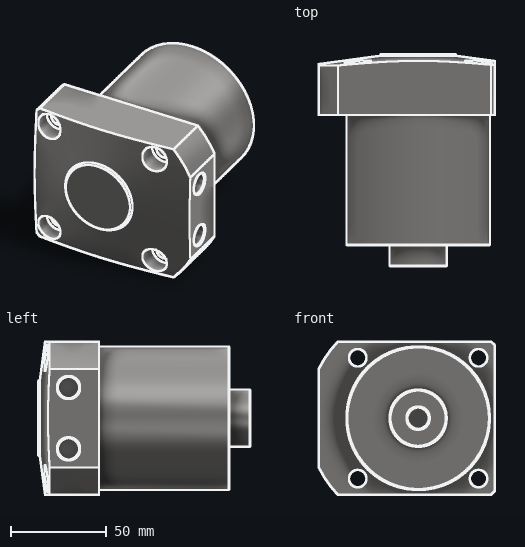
import cadquery as cq
import math

total_length = 111.0
flange_length = 32.0
rod_length = 11.0
barrel_length = total_length - flange_length - rod_length

barrel_diameter = 75.0
rod_diameter = 30.0
edge_chamfer = 0.5

flange_height = 80.0
port_side = 52.0
plain_side = 40.1
corner_radius = 57.9
corner_chamfer = 2.0

pad_diameter = 40.4
pad_height = 1.0
cone_drop = 5.1
envelope_margin = 1.1

bolt_spacing = 63.0
bolt_hole_diameter = 9.0
counterbore_diameter = 14.0
counterbore_floor = 18.0

thread_diameter = 11.1
thread_mouth_diameter = 12.2
rod_hole_depth = 15.0
port_depth = 12.0
port_spacing = 32.0
port_from_front = 16.0


def make_flange():
    """Flange profile trimmed at the back by a revolved cone and pad."""
    top = flange_height / 2
    arc_start_x = -math.sqrt(corner_radius**2 - top**2)
    arc_end_z = math.sqrt(corner_radius**2 - port_side**2)
    middle_angle = (math.atan2(top, arc_start_x) + math.atan2(arc_end_z, -port_side)) / 2
    arc_middle_x = corner_radius * math.cos(middle_angle)
    arc_middle_z = corner_radius * math.sin(middle_angle)

    prism = (
        cq.Workplane("XZ")
        .moveTo(plain_side, -top + corner_chamfer)
        .lineTo(plain_side, top - corner_chamfer)
        .lineTo(plain_side - corner_chamfer, top)
        .lineTo(arc_start_x, top)
        .threePointArc((arc_middle_x, arc_middle_z), (-port_side, arc_end_z))
        .lineTo(-port_side, -arc_end_z)
        .threePointArc((arc_middle_x, -arc_middle_z), (arc_start_x, -top))
        .lineTo(plain_side - corner_chamfer, -top)
        .close()
        .extrude(-flange_length)
    )

    pad_radius = pad_diameter / 2
    cone_start_y = flange_length - pad_height
    envelope_radius = corner_radius + envelope_margin
    cone_slope = cone_drop / (corner_radius - pad_radius)
    envelope_edge_y = cone_start_y - cone_slope * (envelope_radius - pad_radius)
    envelope = (
        cq.Workplane("XY")
        .moveTo(0, 0)
        .lineTo(envelope_radius, 0)
        .lineTo(envelope_radius, envelope_edge_y)
        .lineTo(pad_radius, cone_start_y)
        .lineTo(pad_radius - pad_height, flange_length)
        .lineTo(0, flange_length)
        .close()
        .revolve(360, (0, 0, 0), (0, 1, 0))
    )
    return prism.intersect(envelope)


def make_cylinder(diameter, length, start):
    """Cylinder extending from the start toward -Y, with a chamfered front edge."""
    return (
        cq.Workplane("XZ", origin=(0, start, 0))
        .circle(diameter / 2)
        .extrude(length)
        .faces("<Y")
        .chamfer(edge_chamfer)
    )


def make_hole(diameter, depth, mouth, direction):
    """Cutting cylinder that enters at the mouth point."""
    return cq.Workplane(cq.Solid.makeCylinder(diameter / 2, depth, cq.Vector(mouth), cq.Vector(direction)))


def make_threaded_hole(depth, mouth, direction):
    """Cutting tool for a blind hole with a 45 degree chamfer at its mouth."""
    mouth_radius = thread_mouth_diameter / 2
    thread_radius = thread_diameter / 2
    countersink = cq.Solid.makeCone(
        mouth_radius, thread_radius, mouth_radius - thread_radius, cq.Vector(mouth), cq.Vector(direction)
    )
    return make_hole(thread_diameter, depth, mouth, direction).union(cq.Workplane(countersink))


rod_end = -barrel_length - rod_length
body = make_flange()
body = body.union(make_cylinder(barrel_diameter, barrel_length, 0))
body = body.union(make_cylinder(rod_diameter, rod_length, -barrel_length))

counterbore_depth = flange_length - counterbore_floor
for x_side in (-1, 1):
    for z_side in (-1, 1):
        x = x_side * bolt_spacing / 2
        z = z_side * bolt_spacing / 2
        body = body.cut(make_hole(bolt_hole_diameter, flange_length, (x, 0, z), (0, 1, 0)))
        body = body.cut(
            make_hole(counterbore_diameter, counterbore_depth, (x, counterbore_floor, z), (0, 1, 0))
        )

body = body.cut(make_threaded_hole(rod_hole_depth, (0, rod_end, 0), (0, 1, 0)))

for z in (-port_spacing / 2, port_spacing / 2):
    body = body.cut(make_threaded_hole(port_depth, (-port_side, port_from_front, z), (1, 0, 0)))

result = body